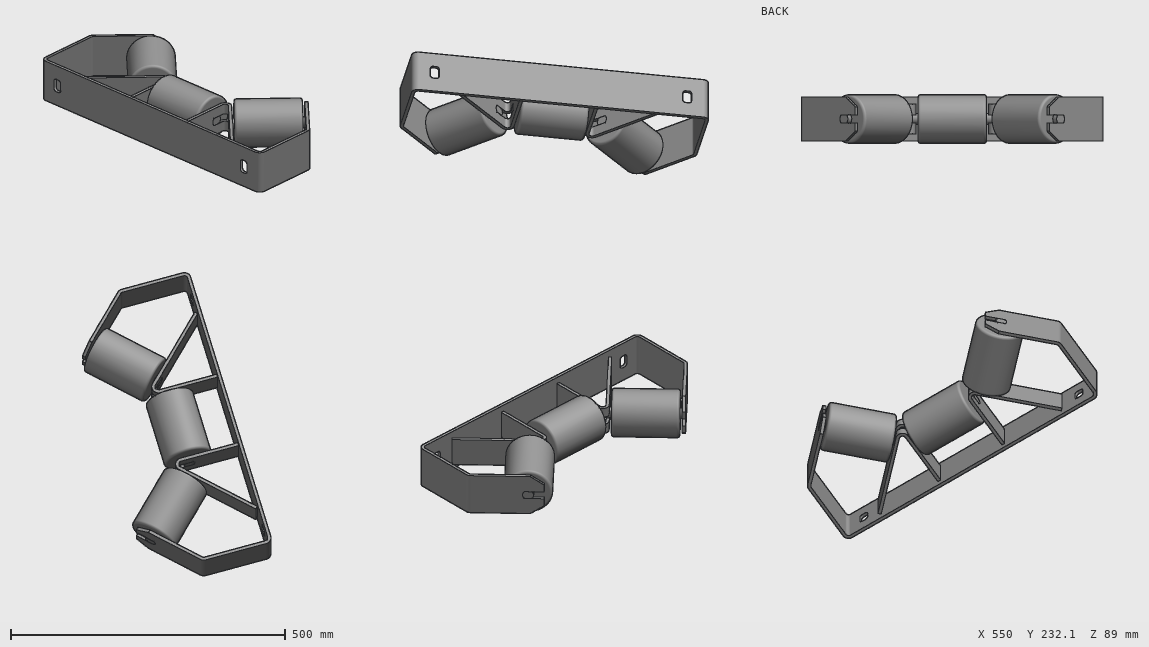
import cadquery as cq
import math

roller_diameter = 89.0
roller_length = 125.0
roller_rounding = 5.0
shaft_diameter = 20.5
shaft_flat_width = 15.0
slot_reach = 55.0
end_gap = 4.1

sheet = 6.0
bend_radius = 12.0
inner_bend_radius = bend_radius - sheet
slope = math.radians(45)
face_angle = math.pi / 2 + slope

frame_length = 550.0
frame_width = 81.0
arm_tip_height = 230.5
arm_tip_chamfer = 18.0
arm_tip_chamfer_length = 25.5
mount_slot_spacing = 468.0
mount_slot_width = 16.5
mount_slot_height = 25.5
mount_slot_rounding = 5.5

bracket_width = 54.5

middle_roller_height = 99.0
side_roller_x = 146.5
side_roller_height = 158.5

support_distance = roller_length / 2 + end_gap
shaft_half_length = support_distance + sheet


def strip_plate(outline, width):
    """Extrude a strip's edge outline to its width, centred on the mid plane Z = 0."""
    return outline.extrude(width).translate((0, 0, -width / 2))


def bar(diameter, length):
    """Round bar along X, centred on the origin."""
    return cq.Workplane("YZ").cylinder(length, diameter / 2)


def polar(center, radius, angle):
    return (center[0] + radius * math.cos(angle), center[1] + radius * math.sin(angle))


def bend_height(bend_x, radius, distance):
    """Height of a bend centre whose sloping face lies at a signed distance from the left roller's centre."""
    across_x = math.cos(face_angle)
    across_y = math.sin(face_angle)
    roller_position = -side_roller_x * across_x + side_roller_height * across_y
    return (roller_position + distance - radius - bend_x * across_x) / across_y


def mirrored(body):
    return body.mirror("YZ")


def frame_half():
    left = -frame_length / 2
    bend_x = left + bend_radius
    low_bend = (bend_x, bend_radius)
    side_bend_height = bend_height(bend_x, inner_bend_radius, support_distance)
    high_bend = (bend_x, side_bend_height)
    low_middle = 1.25 * math.pi
    high_middle = (math.pi + face_angle) / 2
    arm_outer = polar(high_bend, bend_radius, face_angle)
    arm_inner = polar(high_bend, inner_bend_radius, face_angle)
    arm_length = (arm_tip_height - arm_outer[1]) / math.sin(slope)
    tip_outer = polar(arm_outer, arm_length, slope)
    tip_inner = polar(arm_inner, arm_length, slope)
    outline = (
        cq.Workplane("XY")
        .moveTo(0, 0)
        .lineTo(bend_x, 0)
        .threePointArc(polar(low_bend, bend_radius, low_middle), (left, bend_radius))
        .lineTo(left, side_bend_height)
        .threePointArc(polar(high_bend, bend_radius, high_middle), arm_outer)
        .lineTo(*tip_outer)
        .lineTo(*tip_inner)
        .lineTo(*arm_inner)
        .threePointArc(polar(high_bend, inner_bend_radius, high_middle),
                       (left + sheet, side_bend_height))
        .lineTo(left + sheet, bend_radius)
        .threePointArc(polar(low_bend, inner_bend_radius, low_middle), (bend_x, sheet))
        .lineTo(0, sheet)
        .close()
    )
    strip = strip_plate(outline, frame_width)
    strip = strip.cut(arm_tip_corners(tip_outer))
    return strip.cut(mount_slot())


def arm_tip_corners(tip):
    """Two wedges that bevel the arm's tip; local X runs along the arm and local Y across the strip."""
    along_arm = cq.Vector(math.cos(slope), math.sin(slope), 0)
    out_of_arm = cq.Vector(-math.sin(slope), math.cos(slope), 0)
    arm_face = cq.Plane(origin=(tip[0], tip[1], 0), xDir=along_arm, normal=out_of_arm)
    edge = frame_width / 2
    wedges = cq.Workplane(arm_face)
    for side in (1, -1):
        wedges = wedges.polyline([
            (0, side * edge),
            (-arm_tip_chamfer_length, side * edge),
            (0, side * (edge - arm_tip_chamfer)),
        ]).close()
    return wedges.extrude(-sheet)


def mount_slot():
    return (
        cq.Workplane("XY")
        .box(mount_slot_width, 2 * sheet, mount_slot_height)
        .edges("|Y")
        .fillet(mount_slot_rounding)
        .translate((-mount_slot_spacing / 2, sheet / 2, 0))
    )


def bracket_blank():
    right = -support_distance
    bend_x = right - bend_radius
    bracket_bend_height = bend_height(bend_x, bend_radius, -support_distance)
    bend = (bend_x, bracket_bend_height)
    bend_middle = face_angle / 2
    leg_outer = polar(bend, bend_radius, face_angle)
    leg_inner = polar(bend, inner_bend_radius, face_angle)
    leg_length = (leg_inner[1] - sheet) / math.sin(slope)
    foot_outer = polar(leg_outer, -leg_length, slope)
    foot_inner = polar(leg_inner, -leg_length, slope)
    outline = (
        cq.Workplane("XY")
        .moveTo(right, sheet)
        .lineTo(right, bracket_bend_height)
        .threePointArc(polar(bend, bend_radius, bend_middle), leg_outer)
        .lineTo(*foot_outer)
        .lineTo(*foot_inner)
        .lineTo(*leg_inner)
        .threePointArc(polar(bend, inner_bend_radius, bend_middle), (right - sheet, bracket_bend_height))
        .lineTo(right - sheet, sheet)
        .close()
    )
    return strip_plate(outline, bracket_width)


def shaft():
    flats = cq.Workplane("XY").box(2 * shaft_half_length, shaft_diameter, shaft_flat_width)
    flatted_rod = bar(shaft_diameter, 2 * shaft_half_length).intersect(flats)
    return flatted_rod.union(bar(shaft_diameter, 2 * support_distance))


def roller():
    drum = bar(roller_diameter, roller_length).edges("%CIRCLE").fillet(roller_rounding)
    return drum.union(shaft())


def place_middle(body):
    return body.translate((0, middle_roller_height, 0))


def place_left(body):
    return (
        body.rotate((0, 0, 0), (0, 0, 1), math.degrees(face_angle) - 180)
        .translate((-side_roller_x, side_roller_height, 0))
    )


def shaft_slots():
    """Slots at both shaft ends, closed round below the shaft and open toward local +Y."""
    through_length = 2 * shaft_half_length + 2 * sheet
    seat = bar(shaft_diameter, through_length)
    flats = cq.Workplane("XY").box(through_length, shaft_diameter, shaft_flat_width)
    channel = (
        cq.Workplane("XY")
        .box(through_length, slot_reach, shaft_flat_width)
        .translate((0, slot_reach / 2, 0))
    )
    return seat.intersect(flats).union(channel)


left_half = frame_half().cut(place_left(shaft_slots()))
frame = left_half.union(mirrored(left_half))

left_bracket = bracket_blank().cut(place_left(shaft_slots())).cut(place_middle(shaft_slots()))
brackets = [left_bracket, mirrored(left_bracket)]

left_roller = place_left(roller())
rollers = [place_middle(roller()), left_roller, mirrored(left_roller)]

bodies = [frame] + brackets + rollers
result = cq.Compound.makeCompound([solid for body in bodies for solid in body.solids().vals()])